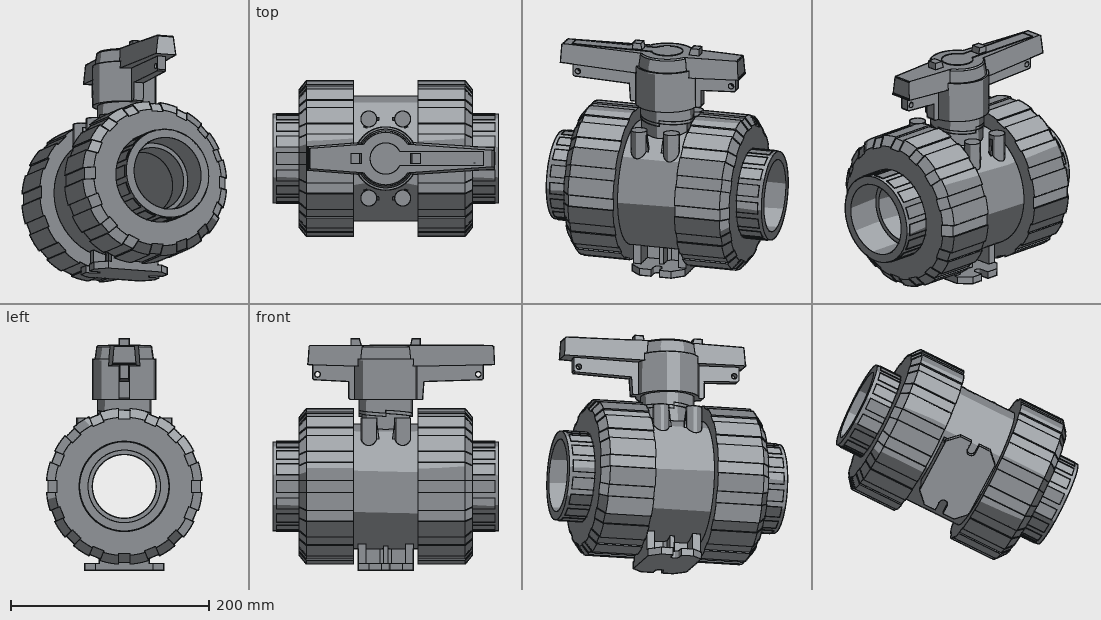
import cadquery as cq
import math


cut_clearance = 1.0
full_turn = 360

bore_radius = 32.1
body_radius = 63.2
body_half_length = 50.0

nut_radius = 78.74
nut_inner_x = 32.5
nut_chamfer_x = 80.1
nut_outer_x = 87.5
nut_chamfer_height = 9.0
nut_lip_x = 79.0
notch_count = 16
notch_width = 12.0
notch_floor = 76.9

tail_end_x = 113.85
tail_radius = 45.0
socket_radius = 36.6
socket_depth = 35.0
pad_radius = 45.6
pad_end_x = 110.0
pad_count = 16
pad_width = 12.0

neck_radius = 26.2
neck_half_width = 24.1
collar_radius = 27.2
collar_lip_radius = 27.0
collar_ramp_low = 70.5
collar_ramp_rise = 3.0
collar_lip_height = 3.3
collar_ramps = 4
collar_top = 87.5

pin_radius = 8.05
pin_x = 17.1
pin_y = 39.9
pin_top = 69.2
gusset_width = 3.4
gusset_top = 64.5
gusset_taper = 0.135
gusset_lean = math.radians(23)

foot_half_length = 27.85
foot_half_width = 40.0
foot_bottom = -84.8
foot_thickness = 7.2
foot_corner = 11.0
foot_slot_width = 8.7
foot_slot_depth = 13.3
leg_width = 8.0
leg_half_depth = 25.3
web_half_thickness = 4.0
foot_boss_radius = 7.0
foot_rib_width = 4.5
foot_rib_half_depth = 19.5

hub_radius = 32.0
hub_top = 128.4
hub_bevel_width = 0.2
hub_bevel_height = 1.6
crown_base_radius = 29.6
crown_top_radius = 27.9
crown_chamfer = 1.4
lever_top = 142.1
lever_tip_bottom = 122.7
lever_root_bottom = 121.0
lever_left_bottom_x = -79.3
lever_left_top_x = -77.4
lever_right_bottom_x = 109.9
lever_right_top_x = 109.0
lever_root_x = 20.0
lever_left_half_width = (12.0, 10.2)
lever_root_half_width = (16.6, 14.6)
lever_right_half_width = (11.0, 8.2)
lever_corner = 1.8
lever_left_lip_width = 0.8
lever_left_lip_top = 124.3

web_left_x = -73.8
web_right_x = 98.4
web_tip_bottom = 107.4
web_root_bottom = 105.6
web_root_half_width = 5.4
web_tip_half_width = 4.4
web_corner = 1.5
left_leg_x = -37.4
right_leg_top_x = 38.6
right_leg_bottom_x = 37.3
lock_hole_diameter = 5.5
lock_hole_z = 113.0
lock_hole_xs = (-68.8, 93.3)

tab_top = 149.03
tab_half_width = 5.2
left_tab_x = (-35.2, -26.7, -24.5)
right_tab_x = (35.0, 26.5, 24.9)

label_height = 0.7
label_radius = 15.8
label_bar_end = 98.5
label_bar_width = 14.0


def pipe_cylinder(radius, start_x, end_x):
    return cq.Workplane("YZ", origin=(start_x, 0, 0)).circle(radius).extrude(end_x - start_x)


def upright_cylinder(radius, bottom, top, x=0, y=0):
    return cq.Workplane("XY", origin=(x, y, bottom)).circle(radius).extrude(top - bottom)


def block(x_range, y_range, z_range):
    sizes = [high - low for low, high in (x_range, y_range, z_range)]
    corner = (x_range[0], y_range[0], z_range[0])
    return cq.Workplane("XY", origin=corner).box(*sizes, centered=False)


def side_plate(points, half_width):
    """Outline in X and Z, extruded equally to both sides of the XZ plane."""
    return cq.Workplane("XZ").polyline(points).close().extrude(half_width, both=True)


def stem_collar(radius, ramp_low):
    """Collar whose lower edge falls along four equal ramps, each ending in a step."""
    ramp_angle = full_turn / collar_ramps
    slope = collar_ramp_rise / (2 * radius * math.sin(math.radians(ramp_angle / 2)))
    ramp_middle = ramp_low + collar_ramp_rise / 2
    below_ramp = (
        cq.Workplane("YZ")
        .polyline([(-radius, 0), (-radius, ramp_middle + slope * radius),
                   (radius, ramp_middle - slope * radius), (radius, 0)])
        .close().extrude(2 * radius)
        .rotate((0, 0, 0), (0, 0, 1), ramp_angle / 2)
    )
    quadrant = block((0, 2 * radius), (0, 2 * radius), (0, collar_top))
    ramp_cutter = below_ramp.intersect(quadrant)
    collar = upright_cylinder(radius, ramp_low, collar_top)
    for step in range(collar_ramps):
        collar = collar.cut(ramp_cutter.rotate((0, 0, 0), (0, 0, 1), step * ramp_angle))
    return collar


def stem_neck():
    """Round neck with a flat on its -X and +X sides."""
    flats = block((-neck_half_width, neck_half_width), (-neck_radius, neck_radius), (0, collar_top))
    return upright_cylinder(neck_radius, 0, collar_top).intersect(flats)


def stop_pin(side_x, side_y):
    """Round pin with two tapering gussets, one along X and one towards the neck."""
    center = (side_x * pin_x, side_y * pin_y)
    pin = upright_cylinder(pin_radius, 0, pin_top, *center)
    inward = math.atan2(0, -side_x)
    towards_neck = math.atan2(-side_y * math.cos(gusset_lean), side_x * math.sin(gusset_lean))
    for angle in (inward, towards_neck):
        gusset = (
            cq.Workplane("XZ")
            .polyline([(0, 0), (0, gusset_top), (pin_radius, gusset_top),
                       (pin_radius + gusset_taper * gusset_top, 0)])
            .close().extrude(gusset_width / 2, both=True)
            .rotate((0, 0, 0), (0, 0, 1), math.degrees(angle))
            .translate((*center, 0))
        )
        pin = pin.union(gusset)
    return pin


def mounting_foot():
    foot_top = foot_bottom + foot_thickness
    foot = (
        block((-foot_half_length, foot_half_length), (-foot_half_width, foot_half_width),
              (foot_bottom, foot_top))
        .edges("|Z").chamfer(foot_corner)
    )
    for side in (-1, 1):
        slot = (
            cq.Workplane("XY", origin=(0, side * foot_half_width, foot_bottom))
            .slot2D(2 * foot_slot_depth, foot_slot_width, 90)
            .extrude(foot_thickness)
        )
        foot = foot.cut(slot)
        leg_edges = sorted((side * foot_half_length, side * (foot_half_length - leg_width)))
        foot = foot.union(block(leg_edges, (-leg_half_depth, leg_half_depth), (foot_bottom, 0)))
    web = block((-foot_half_length, foot_half_length), (-web_half_thickness, web_half_thickness),
                (foot_bottom, 0))
    rib = block((-foot_rib_width / 2, foot_rib_width / 2), (-foot_rib_half_depth, foot_rib_half_depth),
                (foot_bottom, 0))
    return foot.union(web).union(rib).union(upright_cylinder(foot_boss_radius, foot_bottom, 0))


def make_body():
    body = pipe_cylinder(body_radius, -body_half_length, body_half_length)
    body = body.union(stem_neck())
    body = body.union(stem_collar(collar_lip_radius, collar_ramp_low))
    body = body.union(stem_collar(collar_radius, collar_ramp_low + collar_lip_height))
    for side_x in (-1, 1):
        for side_y in (-1, 1):
            body = body.union(stop_pin(side_x, side_y))
    body = body.union(mounting_foot())
    return body.cut(pipe_cylinder(bore_radius, -body_half_length, body_half_length))


def make_nut():
    nut = (
        cq.Workplane("XY")
        .polyline([
            (nut_inner_x, body_radius),
            (nut_inner_x, nut_radius),
            (nut_chamfer_x, nut_radius),
            (nut_outer_x, nut_radius - nut_chamfer_height),
            (nut_outer_x, pad_radius),
            (nut_lip_x, pad_radius),
            (nut_lip_x, body_radius),
        ])
        .close().revolve(full_turn, (0, 0), (1, 0))
    )
    notch = side_plate(
        [
            (nut_inner_x, notch_floor),
            (nut_chamfer_x, notch_floor),
            (nut_outer_x, notch_floor - nut_chamfer_height),
            (nut_outer_x, nut_radius + cut_clearance),
            (nut_inner_x, nut_radius + cut_clearance),
        ],
        notch_width / 2,
    )
    for index in range(notch_count):
        nut = nut.cut(notch.rotate((0, 0, 0), (1, 0, 0), index * full_turn / notch_count))
    return nut


def make_tail():
    tail = pipe_cylinder(tail_radius, body_half_length, tail_end_x)
    pad_ring = pipe_cylinder(pad_radius, body_half_length, pad_end_x)
    pad_bar = block((body_half_length, pad_end_x), (-pad_width / 2, pad_width / 2),
                    (0, pad_radius + cut_clearance))
    for index in range(pad_count):
        pad = pad_ring.intersect(pad_bar.rotate((0, 0, 0), (1, 0, 0), index * full_turn / pad_count))
        tail = tail.union(pad)
    tail = tail.union(pipe_cylinder(body_radius, body_half_length, nut_lip_x))
    tail = tail.cut(pipe_cylinder(bore_radius, body_half_length, tail_end_x))
    return tail.cut(pipe_cylinder(socket_radius, tail_end_x - socket_depth, tail_end_x))


def wing_outline(level, left_x, right_x, left_half, root_half, right_half):
    """Six-sided plan outline, widest at the hub and narrowing to both tips."""
    front = [(left_x, -left_half), (-lever_root_x, -root_half), (lever_root_x, -root_half),
             (right_x, -right_half)]
    back = [(x, -y) for x, y in reversed(front)]
    points = [cq.Vector(x, y, level) for x, y in front + back]
    return cq.Wire.makePolygon(points, close=True)


def lever():
    outlines = [
        wing_outline(level, left_x, right_x, *half_widths)
        for level, left_x, right_x, half_widths in (
            (lever_root_bottom, lever_left_bottom_x, lever_right_bottom_x,
             (lever_left_half_width[0], lever_root_half_width[0], lever_right_half_width[0])),
            (lever_top, lever_left_top_x, lever_right_top_x,
             (lever_left_half_width[1], lever_root_half_width[1], lever_right_half_width[1])),
        )
    ]
    wings = cq.Workplane(cq.Solid.makeLoft(outlines, True))
    side_profile = side_plate(
        [
            (lever_left_bottom_x, lever_tip_bottom),
            (-lever_root_x, lever_root_bottom),
            (lever_root_x, lever_root_bottom),
            (lever_right_bottom_x, lever_tip_bottom),
            (lever_right_bottom_x, lever_top - lever_corner),
            (lever_right_top_x - lever_corner, lever_top),
            (lever_left_top_x + lever_corner / 2, lever_top),
            (lever_left_top_x, lever_top - lever_corner / 2),
            (lever_left_bottom_x + lever_left_lip_width, lever_left_lip_top),
            (lever_left_bottom_x, lever_left_lip_top - lever_left_lip_width),
        ],
        hub_radius,
    )
    return wings.intersect(side_profile)


def lever_web():
    """Thin web under the lever with a stop leg on either side of the hub."""
    profile = side_plate(
        [
            (web_left_x, lever_top - crown_chamfer),
            (web_left_x, web_tip_bottom + web_corner),
            (web_left_x + web_corner, web_tip_bottom),
            (left_leg_x, web_root_bottom),
            (left_leg_x, collar_top + web_corner),
            (left_leg_x + web_corner, collar_top),
            (right_leg_bottom_x, collar_top),
            (right_leg_top_x, web_root_bottom),
            (web_right_x - web_corner, web_tip_bottom),
            (web_right_x, web_tip_bottom + web_corner),
            (web_right_x, lever_top - crown_chamfer),
        ],
        hub_radius,
    )
    plan = wing_outline(collar_top, web_left_x, web_right_x,
                        web_tip_half_width, web_root_half_width, web_tip_half_width)
    plan_solid = cq.Solid.extrudeLinear(plan, [], cq.Vector(0, 0, lever_top - collar_top))
    web = profile.intersect(cq.Workplane(plan_solid))
    holes = (
        cq.Workplane("XZ").pushPoints([(x, lock_hole_z) for x in lock_hole_xs])
        .circle(lock_hole_diameter / 2).extrude(hub_radius, both=True)
    )
    return web.cut(holes)


def hub():
    return (
        cq.Workplane("XZ")
        .polyline([
            (0, collar_top),
            (hub_radius, collar_top),
            (hub_radius, hub_top - hub_bevel_height),
            (hub_radius - hub_bevel_width, hub_top),
            (crown_base_radius, hub_top),
            (crown_top_radius, lever_top - crown_chamfer),
            (crown_top_radius - crown_chamfer, lever_top),
            (0, lever_top),
        ])
        .close().revolve(full_turn, (0, 0), (0, 1))
    )


def indicator_tab(outer_x, inner_top_x, inner_base_x):
    return side_plate(
        [(outer_x, hub_top), (outer_x, tab_top), (inner_top_x, tab_top), (inner_base_x, lever_top),
         (inner_base_x, hub_top)],
        tab_half_width,
    )


def raised_label():
    """Low keyhole-shaped panel on the lever top."""
    label_top = lever_top + label_height
    bar = block((0, label_bar_end), (-label_bar_width / 2, label_bar_width / 2), (hub_top, label_top))
    return upright_cylinder(label_radius, hub_top, label_top).union(bar)


def make_handle():
    handle = hub().union(lever()).union(lever_web()).union(raised_label())
    for tab_x in (left_tab_x, right_tab_x):
        handle = handle.union(indicator_tab(*tab_x))
    return handle


body = make_body()
handle = make_handle()
nuts = []
tails = []
for turn in (0, full_turn / 2):
    nuts.append(make_nut().rotate((0, 0, 0), (0, 0, 1), turn))
    tails.append(make_tail().rotate((0, 0, 0), (0, 0, 1), turn))

result = cq.Compound.makeCompound(
    [body.val(), handle.val()] + [nut.val() for nut in nuts] + [tail.val() for tail in tails]
)